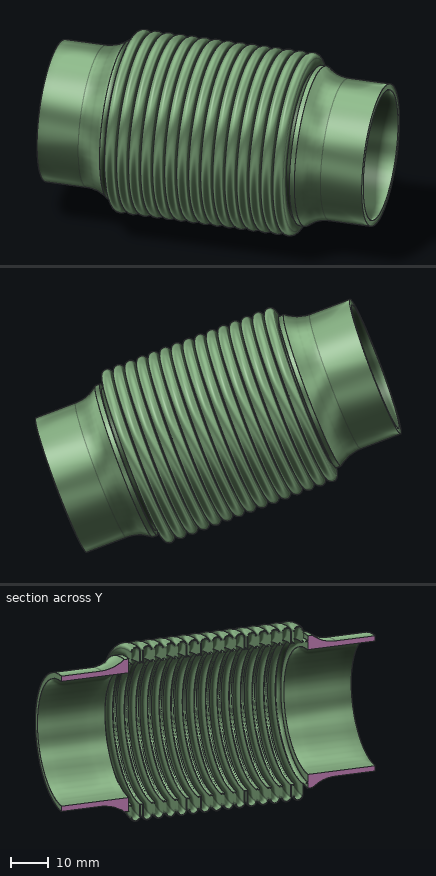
import cadquery as cq
import math

length = 88.9

pipe_radius = 19.0
bore_radius = 17.4
pipe_straight = 11.3
flare_radius = 10.05

collar_radius = 21.4
collar_start = 17.8
collar_width = 1.3
collar_end = collar_start + collar_width

crest_count = 15
crest_pitch = 3.3
crest_width = 2.8
crest_top_diameter = 49.0
crest_top_radius = crest_top_diameter / 2
shoulder_radius = crest_top_radius - crest_width / 2
root_radius = 20.0
wall = 0.31
first_crest_x = 21.1


def revolve_about_x(outline):
    return outline.close().revolve(360, (0, 0, 0), (1, 0, 0))


def flare_height(run):
    """Rise of the flare above the pipe, at a distance from where the flare starts."""
    return flare_radius - math.sqrt(flare_radius**2 - run**2)


def pipe_end():
    """Straight tube that flares out to the collar, at the x = 0 end."""
    flare_length = collar_start - pipe_straight
    half_flare = flare_length / 2
    outline = (
        cq.Workplane("XY")
        .moveTo(0, bore_radius)
        .lineTo(0, pipe_radius)
        .lineTo(pipe_straight, pipe_radius)
        .threePointArc(
            (pipe_straight + half_flare, pipe_radius + flare_height(half_flare)),
            (collar_start, pipe_radius + flare_height(flare_length)),
        )
        .lineTo(collar_start, collar_radius)
        .lineTo(collar_end, collar_radius)
        .lineTo(collar_end, bore_radius)
    )
    return revolve_about_x(outline)


def bellows_body(inset):
    """Solid bellows with its outer surface moved inward by the inset; its ends sit in the collars."""
    half_width = crest_width / 2 - inset
    root = root_radius - inset
    outline = cq.Workplane("XY").moveTo(collar_start, 0).lineTo(collar_start, root)
    for index in range(crest_count):
        middle = first_crest_x + index * crest_pitch
        outline = (
            outline.lineTo(middle - half_width, root)
            .lineTo(middle - half_width, shoulder_radius)
            .threePointArc(
                (middle, shoulder_radius + half_width),
                (middle + half_width, shoulder_radius),
            )
            .lineTo(middle + half_width, root)
        )
    outline = outline.lineTo(length - collar_start, root).lineTo(length - collar_start, 0)
    return revolve_about_x(outline)


near_end = pipe_end()
far_end = near_end.mirror("YZ").translate((length, 0, 0))
bellows = bellows_body(0).cut(bellows_body(wall))

result = bellows.union(near_end).union(far_end)